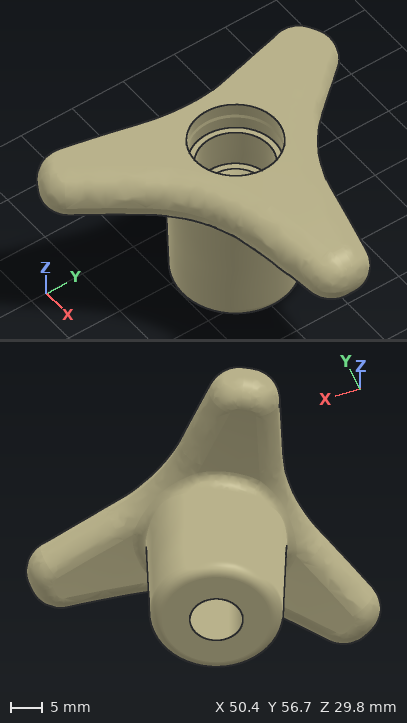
import cadquery as cq
import math

arm_count = 3
crown_height = 30.0
dome_radius = 180.0
arm_thickness = 8.55

tip_reach = 31.5
tip_flat_half = 0.78
tip_corner_radius = 5.0
arm_taper = 11.7
waist_reach = 13.25

top_round = 4.85
under_round = 3.65

hub_foot_diameter = 21.1
hub_draft = 1.7
hub_foot_round = 2.0
hub_root_round = 2.0

cap_mouth_diameter = 15.55
cap_seat_diameter = 15.25
cap_mouth_depth = 2.5
cap_step_drop = 0.5
cap_floor_depth = 5.3
shaft_top_diameter = 13.05
shaft_floor_diameter = 12.75
shaft_floor_depth = 12.2
bore_diameter = 8.38
bore_chamfer = 1.0


def turned(point, degrees):
    """Rotate a plan point about the hub axis."""
    angle = math.radians(degrees)
    x, y = point
    return (
        x * math.cos(angle) - y * math.sin(angle),
        x * math.sin(angle) + y * math.cos(angle),
    )


def arm_outline():
    """Closed plan wire: tapered arms with rounded tips, joined by concave arcs."""
    pitch = 360 / arm_count
    taper = math.radians(arm_taper)
    corner_x = tip_reach - tip_corner_radius

    def corner_point(degrees):
        angle = math.radians(degrees)
        return (
            corner_x + tip_corner_radius * math.cos(angle),
            tip_flat_half + tip_corner_radius * math.sin(angle),
        )

    tip_end = corner_point(0)
    flank_angle = 90 - arm_taper
    corner_mid = corner_point(flank_angle / 2)
    flank_start = corner_point(flank_angle)

    bisector = math.radians(pitch / 2)
    normal = (math.sin(taper), math.cos(taper))
    flank_offset = flank_start[0] * normal[0] + flank_start[1] * normal[1]
    normal_share = math.cos(bisector) * normal[0] + math.sin(bisector) * normal[1]
    waist_radius = (waist_reach * normal_share - flank_offset) / (1 - normal_share)
    waist_centre = waist_reach + waist_radius
    flank_end = (
        waist_centre * math.cos(bisector) - waist_radius * normal[0],
        waist_centre * math.sin(bisector) - waist_radius * normal[1],
    )
    waist_mid = turned((waist_reach, 0), pitch / 2)

    def mirrored(point):
        return (point[0], -point[1])

    outline = cq.Workplane("XY").moveTo(*mirrored(tip_end))
    for index in range(arm_count):
        turn = index * pitch
        following = turn + pitch
        outline = (
            outline.lineTo(*turned(tip_end, turn))
            .threePointArc(turned(corner_mid, turn), turned(flank_start, turn))
            .lineTo(*turned(flank_end, turn))
            .threePointArc(turned(waist_mid, turn), turned(mirrored(flank_end), following))
            .lineTo(*turned(mirrored(flank_start), following))
            .threePointArc(
                turned(mirrored(corner_mid), following),
                turned(mirrored(tip_end), following),
            )
        )
    return outline.close()


def dome(apex_height):
    """Ball whose highest point lies on the hub axis at the given height."""
    ball = cq.Workplane("XY").sphere(dome_radius).rotate((0, 0, 0), (1, 0, 0), 90)
    return ball.translate((0, 0, apex_height - dome_radius))


def make_arms():
    """Three-armed grip between two equal domes, rounded all along its rim."""
    blank = arm_outline().extrude(crown_height)
    plate = blank.intersect(dome(crown_height)).cut(dome(crown_height - arm_thickness))
    plate = plate.faces("%SPHERE").faces(">Z").edges().fillet(top_round)
    return plate.faces("%SPHERE").faces("<Z").edges().fillet(under_round)


def make_hub():
    """Drafted round hub that widens upwards, with a rounded foot."""
    top = crown_height - arm_thickness / 2
    foot_radius = hub_foot_diameter / 2
    top_radius = foot_radius + top * math.tan(math.radians(hub_draft))
    hub = (
        cq.Workplane("XZ")
        .polyline([(0, 0), (foot_radius, 0), (top_radius, top), (0, top)])
        .close()
        .revolve(360, (0, 0, 0), (0, 1, 0))
    )
    return hub.faces("<Z").edges().fillet(hub_foot_round)


def make_bore():
    """Stepped hole from the domed top through the foot, chamfered above its narrow end."""
    mouth_floor = crown_height - cap_mouth_depth
    seat_top = mouth_floor - cap_step_drop
    cap_floor = crown_height - cap_floor_depth
    shaft_floor = crown_height - shaft_floor_depth
    bore_radius = bore_diameter / 2
    profile = [
        (0, 0),
        (bore_radius, 0),
        (bore_radius, shaft_floor - bore_chamfer),
        (bore_radius + bore_chamfer, shaft_floor),
        (shaft_floor_diameter / 2, shaft_floor),
        (shaft_top_diameter / 2, cap_floor),
        (cap_seat_diameter / 2, cap_floor),
        (cap_seat_diameter / 2, seat_top),
        (cap_mouth_diameter / 2, mouth_floor),
        (cap_mouth_diameter / 2, crown_height),
        (0, crown_height),
    ]
    return cq.Workplane("XZ").polyline(profile).close().revolve(360, (0, 0, 0), (0, 1, 0))


def round_hub_root(body):
    """Fillet the seam where the hub runs into the underside of the arms."""
    mid_height = crown_height / 2
    seam = [e for e in body.faces("%CONE").edges().vals() if e.BoundingBox().zmin > mid_height]
    return body.newObject(seam).fillet(hub_root_round)


body = make_arms().union(make_hub())
body = round_hub_root(body)
result = body.cut(make_bore())